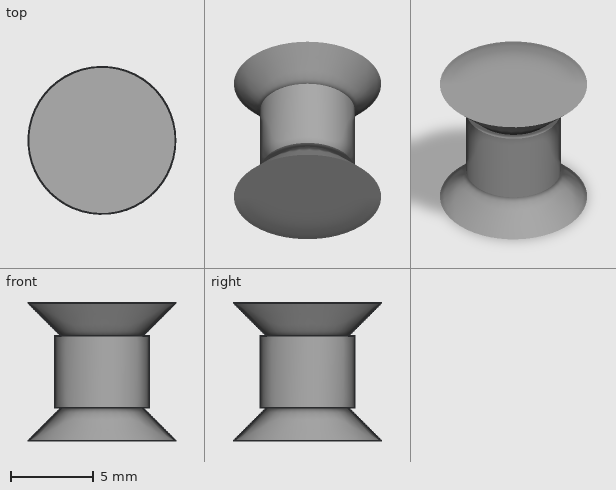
import cadquery as cq

flange_diameter = 8.97
neck_diameter = 4.97
flange_height = 2.0
barrel_diameter = 5.77
barrel_height = 4.395

total_height = 2 * flange_height + barrel_height


def make_flange():
    """Solid cone frustum, wide face on Z = 0 and narrow neck facing up."""
    return cq.Workplane("XY").add(
        cq.Solid.makeCone(flange_diameter / 2, neck_diameter / 2, flange_height)
    )


def make_barrel():
    """Plain cylinder held between the necks of the two flanges."""
    return (
        cq.Workplane("XY")
        .workplane(offset=flange_height)
        .circle(barrel_diameter / 2)
        .extrude(barrel_height)
    )


flanges = []
for turn, base_height in ((0, 0), (180, total_height)):
    flange = make_flange().rotate((0, 0, 0), (1, 0, 0), turn).translate((0, 0, base_height))
    flanges.append(flange.val())

barrel = make_barrel()

result = cq.Compound.makeCompound([*flanges, barrel.val()])